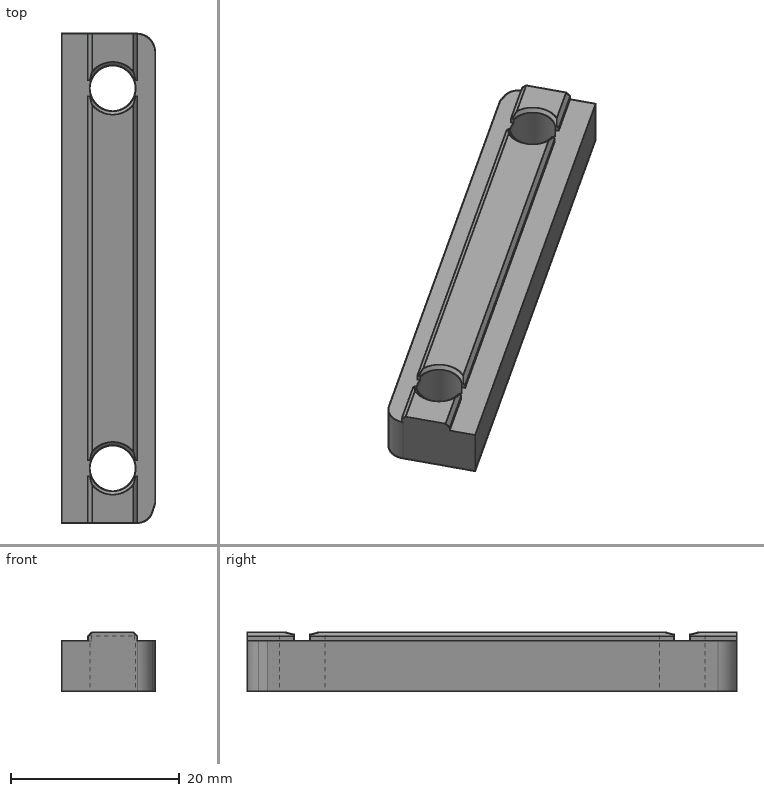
import cadquery as cq
import math

bar_width = 11.1
bar_length = 57.98
bar_height = 6.0

back_corner_radius = 2.25

front_corner_run = 2.15
front_arc_radius = 1.9
front_arc_run = 1.8
front_flat_length_y = 1.08

ridge_width = 5.875
ridge_height = 1.0
ridge_chamfer = 0.5
ridge_center_x = 6.045
total_height = bar_height + ridge_height

hole_diameter = 5.4
hole_spacing = 45.0
countersink_depth = 0.42
notch_width = 1.88


def make_bar():
    """Flat bar with a plain round at its +Y corner and an arc plus a flat at its -Y corner."""
    half_length = bar_length / 2
    arc_start_x = bar_width - front_corner_run
    arc_angle = math.asin(front_arc_run / front_arc_radius)

    def arc_point(angle):
        return (
            arc_start_x + front_arc_radius * math.sin(angle),
            front_arc_radius * (1 - math.cos(angle)) - half_length,
        )

    arc_end = arc_point(arc_angle)
    bar = (
        cq.Workplane("XY")
        .moveTo(0, -half_length)
        .lineTo(arc_start_x, -half_length)
        .threePointArc(arc_point(arc_angle / 2), arc_end)
        .lineTo(bar_width, arc_end[1] + front_flat_length_y)
        .lineTo(bar_width, half_length)
        .lineTo(0, half_length)
        .close()
        .extrude(bar_height)
    )
    return bar.edges("|Z").edges(">X and >Y").fillet(back_corner_radius)


def make_ridge():
    """Full-length ridge with its two long top edges chamfered."""
    ridge = cq.Workplane("XY").box(ridge_width, bar_length, ridge_height, centered=(True, True, False))
    ridge = ridge.edges("|Y and >Z").chamfer(ridge_chamfer)
    return ridge.translate((ridge_center_x, 0, bar_height))


def make_hole_cutter(y):
    """Countersunk through hole plus a narrow notch across the ridge."""
    radius = hole_diameter / 2
    drill = cq.Workplane("XY").circle(radius).extrude(total_height)
    countersink = (
        cq.Workplane("XY")
        .workplane(offset=total_height - countersink_depth)
        .circle(radius)
        .workplane(offset=countersink_depth)
        .circle(radius + countersink_depth)
        .loft(ruled=True)
    )
    notch = (
        cq.Workplane("XY")
        .box(ridge_width, notch_width, ridge_height, centered=(True, True, False))
        .translate((0, 0, bar_height))
    )
    return drill.union(countersink).union(notch).translate((ridge_center_x, y, 0))


result = make_bar().union(make_ridge())
for side in (-1, 1):
    result = result.cut(make_hole_cutter(side * hole_spacing / 2))